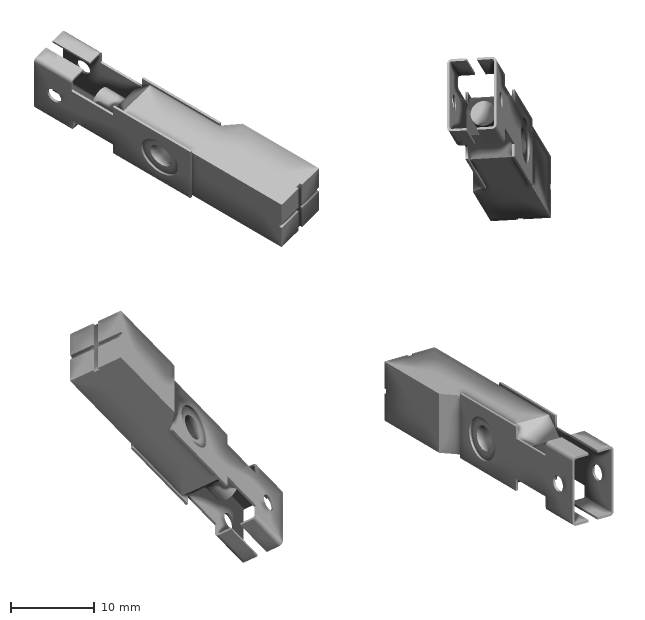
import cadquery as cq


plate_thickness = 0.3
plate_span = 6.0
plate_outer_y = plate_span / 2
plate_inner_y = plate_outer_y - plate_thickness
lip_gap = 1.3
lip_edge_y = lip_gap / 2
tab_length = 5.67
tab_height = 9.1
bend_radius = 0.55
neck_height = 5.35
neck_corner_radius = 0.2
wide_start_x = 11.95
wide_height = 8.47
plate_end_x = 23.75
tip_hole_diameter = 2.05
tip_hole_x = 3.05
plate_window_diameter = 5.52

total_length = 37.33
total_width = 7.65
block_height = 7.75
block_back_y = total_width - plate_outer_y
nose_x = 10.95
nose_flat_height = 3.2
nose_slope = (block_height - nose_flat_height) / 2
shoulder_length = 2.0
groove_width = 0.7
groove_depth = 0.35

bore_x = 19.05
bore_diameter = 3.2
bushing_diameter = plate_window_diameter
bushing_length = 2 * plate_inner_y
pin_diameter = 3.15
pin_start_x = 7.7
panel_end_x = 36.05
panel_height = neck_height
panel_thickness = plate_thickness


def box_between(x_range, y_range, z_range):
    """Box given by its limits along each axis."""
    sizes = [high - low for low, high in (x_range, y_range, z_range)]
    corner = (x_range[0], y_range[0], z_range[0])
    return cq.Workplane("XY").box(*sizes, centered=False).translate(corner)


def cross_cylinder(x, diameter, length):
    """Cylinder along Y, centred on Y = 0."""
    return cq.Workplane("XZ").center(x, 0).circle(diameter / 2).extrude(length / 2, both=True)


def make_tab():
    """C-shaped end of the -Y plate, with lips bent inwards at top and bottom."""
    channel = box_between(
        (0, tab_length), (-plate_outer_y, -lip_edge_y), (-tab_height / 2, tab_height / 2)
    )
    inner_half_height = tab_height / 2 - plate_thickness
    cavity = box_between(
        (0, tab_length), (-plate_inner_y, -lip_edge_y), (-inner_half_height, inner_half_height)
    )
    channel = channel.edges("|X and <Y").fillet(bend_radius)
    cavity = cavity.edges("|X and <Y").fillet(bend_radius - plate_thickness)
    return channel.cut(cavity)


def make_plate():
    """The -Y side plate: bent tab, narrow neck and wide end with two holes."""
    thickness_range = (-plate_outer_y, -plate_inner_y)
    neck = box_between(
        (tab_length, wide_start_x), thickness_range, (-neck_height / 2, neck_height / 2)
    )
    wide_end = box_between(
        (wide_start_x, plate_end_x), thickness_range, (-wide_height / 2, wide_height / 2)
    )
    plate = make_tab().union(neck).union(wide_end)
    neck_corners = cq.selectors.BoxSelector(
        (tab_length - neck_corner_radius, -plate_span, -neck_height / 2 - neck_corner_radius),
        (tab_length + neck_corner_radius, plate_span, neck_height / 2 + neck_corner_radius),
    )
    plate = plate.edges("|Y").edges(neck_corners).fillet(neck_corner_radius)
    plate = plate.cut(cross_cylinder(tip_hole_x, tip_hole_diameter, plate_span))
    return plate.cut(cross_cylinder(bore_x, plate_window_diameter, plate_span))


def make_bushing():
    """Sleeve through the block, flush with the block sides."""
    sleeve = cross_cylinder(bore_x, bushing_diameter, bushing_length)
    return sleeve.cut(cross_cylinder(bore_x, bore_diameter, bushing_length))


def make_pin():
    """Round pin that stands on the nose of the block."""
    pin_length = nose_x - pin_start_x
    return cq.Workplane("YZ", origin=(pin_start_x, 0, 0)).circle(pin_diameter / 2).extrude(pin_length)


def make_panel():
    """Thin panel let in flush with the -Y side of the block."""
    return box_between(
        (plate_end_x, panel_end_x),
        (-plate_inner_y, -plate_inner_y + panel_thickness),
        (-panel_height / 2, panel_height / 2),
    )


def make_end_grooves():
    """Two crossed grooves, along Y and along Z, over the end face of the block."""
    x_range = (total_length - groove_depth, total_length)
    y_range = (-plate_inner_y, block_back_y)
    z_range = (-block_height / 2, block_height / 2)
    middle_y = sum(y_range) / 2
    half_width = groove_width / 2
    groove_along_y = box_between(x_range, y_range, (-half_width, half_width))
    groove_along_z = box_between(x_range, (middle_y - half_width, middle_y + half_width), z_range)
    return groove_along_y.union(groove_along_z)


def make_block(panel):
    """Block between the plates, with seats for the bushing and the panel."""
    block = (
        cq.Workplane("XY", origin=(0, 0, -block_height / 2))
        .moveTo(nose_x, -plate_inner_y)
        .lineTo(total_length, -plate_inner_y)
        .lineTo(total_length, block_back_y)
        .lineTo(plate_end_x + shoulder_length, block_back_y)
        .lineTo(plate_end_x, plate_inner_y)
        .lineTo(nose_x, plate_inner_y)
        .close()
        .extrude(block_height)
    )
    block = block.edges("|Y and <X").chamfer(nose_slope)
    block = block.cut(make_end_grooves())
    bushing_seat = cross_cylinder(bore_x, bushing_diameter, bushing_length)
    return block.cut(bushing_seat).cut(panel)


front_plate = make_plate()
back_plate = front_plate.mirror("XZ")
bushing = make_bushing()
pin = make_pin()
panel = make_panel()
block = make_block(panel)

result = cq.Compound.makeCompound(
    [
        front_plate.val(),
        back_plate.val(),
        block.val(),
        bushing.val(),
        pin.val(),
        panel.val(),
    ]
)